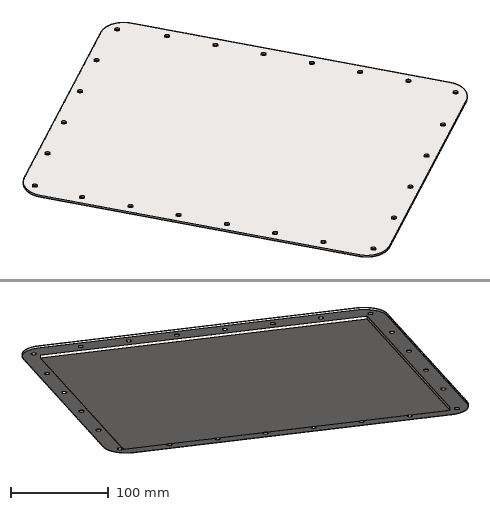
import cadquery as cq

length = 392.5
width = 311.5
total_thickness = 5.5
plate_thickness = 2.5
corner_radius = 24.7

panel_thickness = total_thickness - plate_thickness
panel_inset = 20.0

hole_diameter = 5.0
edge_inset = 10.2
corner_inset = 14.5
long_side_count = 6
long_side_pitch = 51.8
short_side_count = 4
short_side_pitch = 56.0


def row_positions(count, pitch):
    """Evenly spaced positions centred on zero."""
    return [(i - (count - 1) / 2) * pitch for i in range(count)]


def screw_hole_centres():
    """Centres of the edge rows and the four corner holes."""
    centres = []
    for side in (-1, 1):
        row_y = side * (width / 2 - edge_inset)
        row_x = side * (length / 2 - edge_inset)
        corner_x = side * (length / 2 - corner_inset)
        corner_y = width / 2 - corner_inset
        centres += [(x, row_y) for x in row_positions(long_side_count, long_side_pitch)]
        centres += [(row_x, y) for y in row_positions(short_side_count, short_side_pitch)]
        centres += [(corner_x, -corner_y), (corner_x, corner_y)]
    return centres


def cover_plate():
    """Round-cornered plate with its screw holes, resting on Z = 0."""
    plate = cq.Workplane("XY").rect(length, width).extrude(plate_thickness)
    plate = plate.edges("|Z").fillet(corner_radius)
    return plate.faces(">Z").workplane().pushPoints(screw_hole_centres()).hole(hole_diameter)


def under_panel():
    """Square-cornered panel hanging below Z = 0."""
    panel_length = length - 2 * panel_inset
    panel_width = width - 2 * panel_inset
    return cq.Workplane("XY").rect(panel_length, panel_width).extrude(-panel_thickness)


result = cover_plate().union(under_panel())